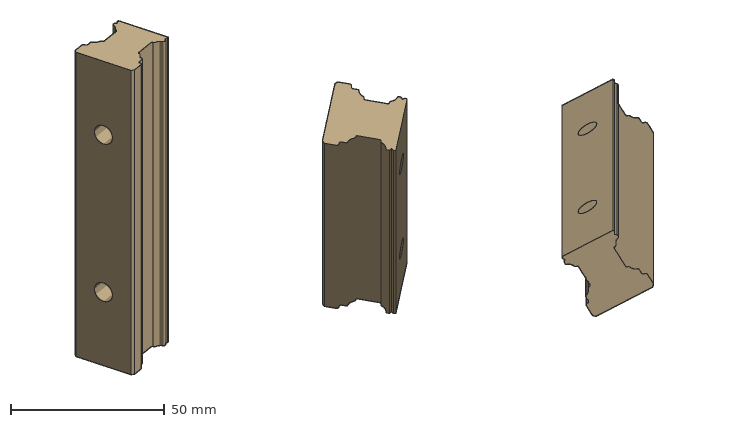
import cadquery as cq

length = 116.0
height = 24.2
base_half_width = 11.5
half_length = length / 2
half_height = height / 2

base_chamfer = 0.8
shoulder_height = 5.6
shoulder_round = 0.8
head_half_width = 10.0
shoulder_fillet = base_half_width - shoulder_round - head_half_width

recess_middle = 14.6
lip_start_offset = 6.8
lip_end_offset = 6.4
lip_end_half_width = 9.6
lip_sag = 0.1
groove_end_offset = 4.8
groove_end_half_width = 7.9
groove_sag = 0.29
relief_offset = 4.2
relief_sag = 0.1
web_half_width = 6.7
web_fillet = 0.5

head_side_top = 22.2
notch_half_width = 9.3
notch_height = 22.7
top_half_width = 9.7
notch_top = 23.4
top_bevel_width = 0.1
top_bevel_height = 0.5

hole_spacing = 60.0
hole_diameter = 7.0
plug_thickness = 3.0
hole_heights = [-hole_spacing / 2, hole_spacing / 2]


def arc_middle(start, end, sag):
    """Middle point of an arc that bows by sag to the left of the line from start to end."""
    along_x = end[0] - start[0]
    along_y = end[1] - start[1]
    chord = (along_x**2 + along_y**2) ** 0.5
    middle_x = (start[0] + end[0]) / 2 - along_y / chord * sag
    middle_y = (start[1] + end[1]) / 2 + along_x / chord * sag
    return (middle_x, middle_y)


def add_arc(outline, start, end, sag):
    return outline.threePointArc(arc_middle(start, end, sag), end)


def recess_points(side):
    """Recess points from lip to web, below (side = -1) or above (side = 1) the middle."""
    return [
        (head_half_width, recess_middle + side * lip_start_offset),
        (lip_end_half_width, recess_middle + side * lip_end_offset),
        (groove_end_half_width, recess_middle + side * groove_end_offset),
        (web_half_width + web_fillet, recess_middle + side * relief_offset),
        (web_half_width, recess_middle + side * (relief_offset - web_fillet)),
    ]


def add_recess(outline):
    """Ball grooves with rounded lips, below and above a straight web."""
    lip_start, lip_end, groove_end, fillet_start, web_end = recess_points(-1)
    outline = outline.lineTo(*lip_start)
    outline = add_arc(outline, lip_start, lip_end, -lip_sag)
    outline = add_arc(outline, lip_end, groove_end, groove_sag)
    outline = add_arc(outline, groove_end, fillet_start, -relief_sag)
    outline = outline.radiusArc(web_end, web_fillet)

    lip_start, lip_end, groove_end, fillet_start, web_end = recess_points(1)
    outline = outline.lineTo(*web_end).radiusArc(fillet_start, web_fillet)
    outline = add_arc(outline, fillet_start, groove_end, -relief_sag)
    outline = add_arc(outline, groove_end, lip_end, groove_sag)
    return add_arc(outline, lip_end, lip_start, -lip_sag)


def half_profile():
    """Half of the rail section on the +X side, standing on its mounting face at y = 0."""
    shoulder_bend = (base_half_width - shoulder_round, shoulder_height)
    outline = (
        cq.Workplane("XY")
        .lineTo(base_half_width - base_chamfer, 0)
        .lineTo(base_half_width, base_chamfer)
        .lineTo(base_half_width, shoulder_height - shoulder_round)
        .radiusArc(shoulder_bend, -shoulder_round)
        .radiusArc((head_half_width, shoulder_height + shoulder_fillet), shoulder_fillet)
    )
    return (
        add_recess(outline)
        .lineTo(head_half_width, head_side_top)
        .lineTo(notch_half_width, notch_height)
        .lineTo(top_half_width, notch_top)
        .lineTo(top_half_width, height - top_bevel_height)
        .lineTo(top_half_width - top_bevel_width, height)
        .lineTo(0, height)
        .close()
    )


def cylinder_from_top(diameter, depth, z):
    """Cylinder that reaches from the rail's top face (+Y) down into the rail."""
    top_center = cq.Vector(0, half_height, z)
    solid = cq.Solid.makeCylinder(diameter / 2, depth, top_center, cq.Vector(0, -1, 0))
    return cq.Workplane(obj=solid)


def make_rail():
    half = half_profile().extrude(length)
    rail = half.union(half.mirror("YZ")).translate((0, -half_height, -half_length))
    for z in hole_heights:
        rail = rail.cut(cylinder_from_top(hole_diameter, height, z))
    return rail


def make_plug(z):
    """Disc that closes a screw hole, flush with the rail's top face."""
    return cylinder_from_top(hole_diameter, plug_thickness, z)


rail = make_rail()
plugs = [make_plug(z) for z in hole_heights]
result = cq.Compound.makeCompound([rail.val(), *[plug.val() for plug in plugs]])